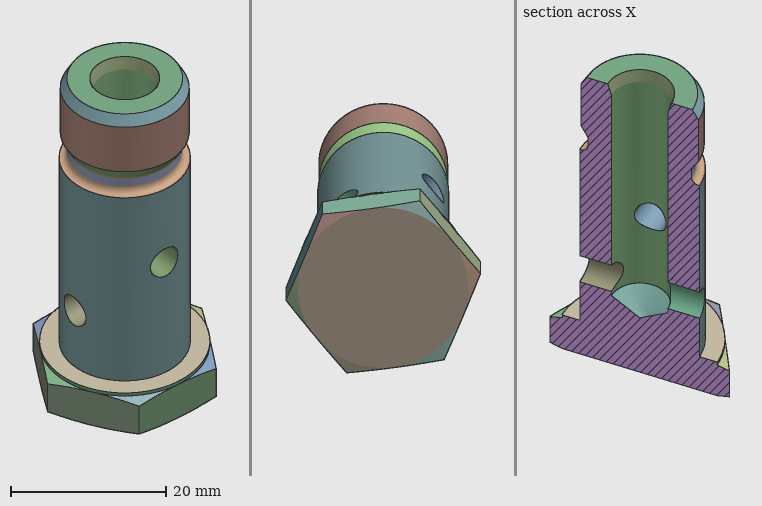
import cadquery as cq
import math

total_height = 49.0
shank_radius = 16.95 / 2
shoulder_z = 36.0

across_flats = 22.0
collar_radius = across_flats / 2
head_height = 6.0
collar_height = 0.5
head_chamfer_angle = 15.0

thread_radius = 16.65 / 2
thread_bottom_z = 40.2
tip_radius = 14.95 / 2
tip_chamfer_height = 1.5
undercut_radius = 14.7 / 2
undercut_fillet = 1.0
runout_angle = 30.0

bore_radius = 8.0 / 2
bore_mouth_radius = 9.0 / 2
bore_mouth_depth = 1.75
bore_bottom_z = 12.0
drill_point_angle = 118.0

cross_hole_diameter = 4.5
lower_hole_z = 15.0
upper_hole_z = 24.0


def make_head():
    """Hexagon with corners on the Y axis, coned at both ends, under a round collar."""
    corner_radius = collar_radius / math.cos(math.radians(30))
    chamfer_drop = (corner_radius - collar_radius) * math.tan(math.radians(head_chamfer_angle))
    hex_height = head_height - collar_height
    hexagon = (
        cq.Workplane("XY")
        .polygon(6, 2 * corner_radius)
        .extrude(hex_height)
        .rotate((0, 0, 0), (0, 0, 1), 30)
    )
    coned_envelope = (
        cq.Workplane("XZ")
        .moveTo(0, 0)
        .lineTo(collar_radius, 0)
        .lineTo(corner_radius, chamfer_drop)
        .lineTo(corner_radius, hex_height - chamfer_drop)
        .lineTo(collar_radius, hex_height)
        .lineTo(0, hex_height)
        .close()
        .revolve(360, (0, 0, 0), (0, 1, 0))
    )
    collar = cq.Workplane("XY").workplane(offset=hex_height).circle(collar_radius).extrude(collar_height)
    return hexagon.intersect(coned_envelope).union(collar)


def make_shank():
    """Turned shank with a filleted undercut and a chamfered threaded end."""
    angle = math.radians(runout_angle)
    fillet_center_radius = undercut_radius + undercut_fillet
    runout_end_radius = fillet_center_radius - undercut_fillet * math.cos(angle)
    runout_end_z = thread_bottom_z - (thread_radius - runout_end_radius) / math.tan(angle)
    upper_fillet_z = runout_end_z - undercut_fillet * math.sin(angle)
    upper_fillet_mid = (
        fillet_center_radius - undercut_fillet * math.cos(angle / 2),
        upper_fillet_z + undercut_fillet * math.sin(angle / 2),
    )
    lower_fillet_z = shoulder_z + undercut_fillet
    lower_fillet_mid = (
        fillet_center_radius - undercut_fillet * math.cos(math.pi / 4),
        lower_fillet_z - undercut_fillet * math.sin(math.pi / 4),
    )
    return (
        cq.Workplane("XZ")
        .moveTo(0, 0)
        .lineTo(shank_radius, 0)
        .lineTo(shank_radius, shoulder_z)
        .lineTo(fillet_center_radius, shoulder_z)
        .threePointArc(lower_fillet_mid, (undercut_radius, lower_fillet_z))
        .lineTo(undercut_radius, upper_fillet_z)
        .threePointArc(upper_fillet_mid, (runout_end_radius, runout_end_z))
        .lineTo(thread_radius, thread_bottom_z)
        .lineTo(thread_radius, total_height - tip_chamfer_height)
        .lineTo(tip_radius, total_height)
        .lineTo(0, total_height)
        .close()
        .revolve(360, (0, 0, 0), (0, 1, 0))
    )


def make_bore():
    """Blind drilled bore with a tapered mouth and a conical bottom."""
    point_depth = bore_radius / math.tan(math.radians(drill_point_angle / 2))
    return (
        cq.Workplane("XZ")
        .moveTo(0, bore_bottom_z - point_depth)
        .lineTo(bore_radius, bore_bottom_z)
        .lineTo(bore_radius, total_height - bore_mouth_depth)
        .lineTo(bore_mouth_radius, total_height)
        .lineTo(0, total_height)
        .close()
        .revolve(360, (0, 0, 0), (0, 1, 0))
    )


def make_cross_hole(plane, height):
    """Round hole through both walls of the shank, along the normal of the plane."""
    return (
        cq.Workplane(plane, origin=(0, 0, height))
        .circle(cross_hole_diameter / 2)
        .extrude(across_flats, both=True)
    )


result = (
    make_head()
    .union(make_shank())
    .cut(make_bore())
    .cut(make_cross_hole("XZ", lower_hole_z))
    .cut(make_cross_hole("YZ", upper_hole_z))
)